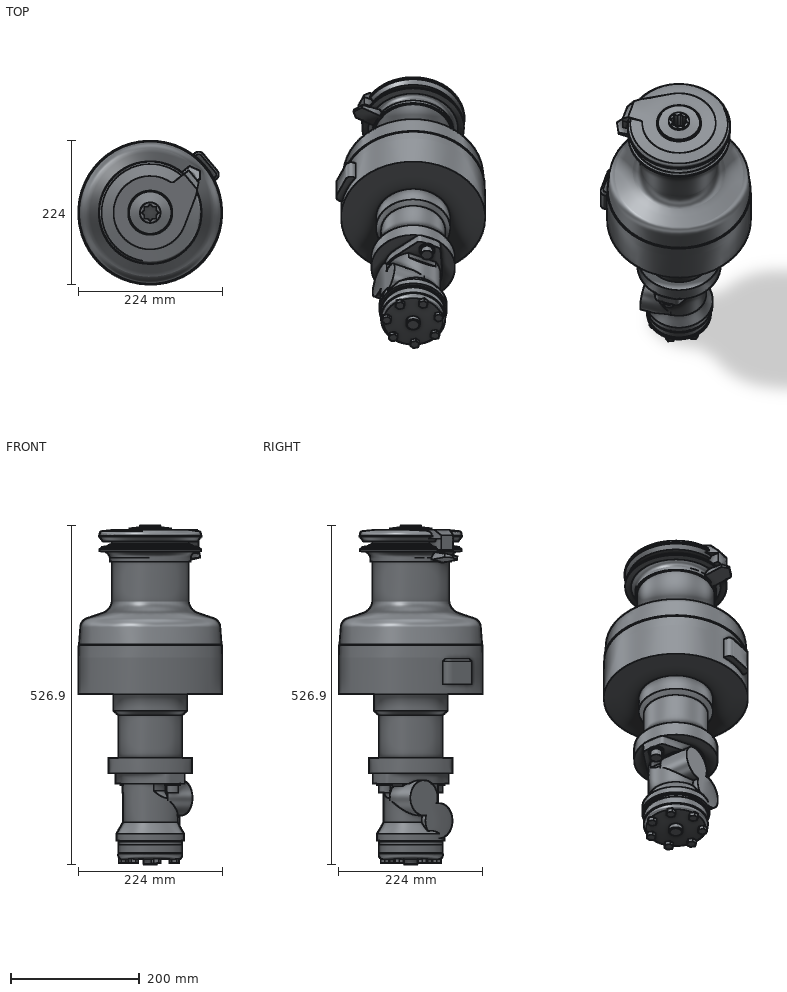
import cadquery as cq
import math


TOTAL_HEIGHT = 526.94
TOP_Z = 261.9
BOTTOM_Z = TOP_Z - TOTAL_HEIGHT

SERVICE_ANGLE = 40.0

BASE_R = 112.0
BASE_RIM_Z = 57.0
BAND_TOP_R = 111.5
BAND_TOP_Z = 77.5
BAND_GROOVE_R = 110.2
BAND_GROOVE_HEIGHT = 1.6
SKIRT_R = 111.0
SHOULDER_R = 109.0
SHOULDER_Z = 103.5
SHOULDER_INNER_R = 99.6
SHOULDER_INNER_Z = 117.6
SHOULDER_MID_POINT = (106.3, 112.0)
DRUM_R = 60.0
DRUM_FLARE_R = 72.0
DRUM_FLARE_Z = 127.0
DRUM_FLARE_TOP_Z = 143.6
DRUM_FLARE_MID_POINT = (64.0, 133.5)
COLLAR_R = 63.0
COLLAR_BOTTOM_Z = 205.8
COLLAR_TOP_Z = 212.0
JAW_ROOT_R = 69.5
JAW_ROOT_Z = 220.7
JAW_ROOT_MID_POINT = (65.2, 216.9)
JAW_R = 79.0
LOWER_JAW_RIM_Z = 221.8
LOWER_JAW_EDGE_Z = 225.0
LOWER_JAW_CONE_R = 75.5
LOWER_JAW_CONE_Z = 228.5
JAW_THROAT_R = 65.0
JAW_THROAT_Z = 231.3
JAW_STEP = 0.9
GROOVE_FLOOR_Z = 233.5
GROOVE_TOP_Z = 236.2
UPPER_JAW_LIP_R = 74.0
UPPER_JAW_LIP_Z = 237.0
UPPER_JAW_BEAD_R = 80.0
UPPER_JAW_BEAD_Z = 244.4
UPPER_JAW_BEAD_TOP_Z = 246.2
LID_EDGE_R = 75.6
LID_EDGE_Z = 253.2
LID_RIM_MID_POINT = (78.7, 250.0)
LID_FLAT_R = 57.0
LID_Z = 255.6
SLOPE_TOP_R = 55.0
SLOPE_TOP_Z = 255.4

CAP_R = 34.5
CAP_EDGE_Z = 257.2
CAP_CROWN_Z = 259.3
CAP_INNER_R = CAP_R - 1.8
CAP_GROOVE_Z = LID_Z - 1.5
HUB_D = 32.2
HUB_TOP_D = 31.72
SOCKET_SQUARE = 18.63
SOCKET_DEPTH = 30.0

NECK_R = 115.0 / 2
NECK_CHAMFER_Z = -26.0
COLUMN_R = 100.0 / 2
COLUMN_SHOULDER_Z = -32.5
FLANGE_R = 130.0 / 2
FLANGE_TOP_Z = -99.0
FLANGE_BOTTOM_Z = -123.0
BODY_R = 42.5
BODY_FLARE_TOP_Z = -199.0
RING_R = 105.0 / 2
RING_TOP_Z = -216.5
RING_BOTTOM_Z = -227.3
RING_GROOVE_R = 48.5
COVER_TOP_Z = -229.0
COVER_R = 100.0 / 2
COVER_SEAT_R = 49.7
COVER_SEAT_Z = -234.0
COVER_GROOVE_TOP_Z = -246.5
COVER_GROOVE_BOTTOM_Z = -248.0
COVER_GROOVE_R = 49.3
COVER_BOTTOM_Z = -256.2
COVER_FACE_R = 46.0
COVER_ROUND_MID_POINT = (49.0, -253.2)

PLATE_BOTTOM_Z = -139.0
PLATE_HUB_R = 45.0
EAR_REACH = 64.0
EAR_HALF_WIDTH = 21.0
EAR_CORNER_R = 8.0
BOLT_OFFSET = 53.5
WASHER_R = 24.0 / 2
WASHER_HEIGHT = 2.5
BOLT_HEAD_R = 18.0 / 2
BOLT_HEAD_BOTTOM_Z = -153.0
RELIEF_OFFSET = 35.8
RELIEF_FLAT_Z = -150.0
RELIEF_END_Z = -161.5

PORT_R = 27.5
PORT_REACH = 50.0
PORT_SIDE_OFFSET = 15.3
HIGH_PORT_Z = -161.0
LOW_PORT_Z = -196.5

SCREW_COUNT = 7
FIRST_SCREW_ANGLE = 180.0
SCREW_CIRCLE_R = 41.5
SCREW_ACROSS_FLATS = 13.0
SCREW_BOTTOM_Z = -262.5
PLUG_R = 10.7
PLUG_TIP_R = 18.63 / 2

ARM_BOTTOM_Z = 241.0
ARM_LEFT_OFFSET = 13.0
ARM_NOTCH_R = 5.0
ARM_TIP_REACH = 88.0
ARM_TIP_HALF_WIDTH = 12.0
ARM_SHOULDER_REACH = 72.0
ARM_SHOULDER_OFFSET = -25.0
ARM_BEVEL_HEIGHT = 9.0
ARM_BEVEL_WIDTH = 9.0
WEB_BOTTOM_Z = 224.0
TONGUE_ROOT_TOP_Z = 220.0
TONGUE_ROOT_BOTTOM_Z = 206.5
TONGUE_TIP_TOP_Z = 216.0
TONGUE_TIP_BOTTOM_Z = 212.0
TONGUE_TILT = -10.0
TONGUE_ROOT_REACH = 58.0
TONGUE_LEFT_REACH = 93.5
TONGUE_TIP_REACH = 101.0
TONGUE_RIGHT_REACH = 93.0
TONGUE_LEFT_OFFSET = 16.0
TONGUE_RIGHT_OFFSET = -9.5
BOX_REACH = 121.8
BOX_ROOT_REACH = 90.0
BOX_HALF_WIDTH = 26.3
BOX_CORNER_R = 9.0
BOX_BEVEL = 4.0
BOX_BOTTOM_Z = 15.0
BOX_TOP_Z = 55.0

OVERLAP = 1.0


def turned(body, angle=SERVICE_ANGLE):
    """Turn a body made along +X to the given angle about the winch axis."""
    return body.rotate((0, 0, 0), (0, 0, 1), angle)


def polar(radius, angle):
    return (radius * math.cos(angle), radius * math.sin(angle))


def cylinder(radius, bottom, top, x=0.0, y=0.0):
    return cq.Workplane("XY", origin=(x, y, bottom)).circle(radius).extrude(top - bottom)


def revolved(profile):
    return profile.close().revolve(360, (0, 0, 0), (0, 1, 0))


def make_drum():
    profile = (
        cq.Workplane("XZ")
        .moveTo(0, 0)
        .lineTo(BASE_R, 0)
        .lineTo(BASE_R, BASE_RIM_Z)
        .lineTo(BAND_TOP_R, BAND_TOP_Z - BAND_GROOVE_HEIGHT)
        .lineTo(BAND_GROOVE_R, BAND_TOP_Z - BAND_GROOVE_HEIGHT)
        .lineTo(BAND_GROOVE_R, BAND_TOP_Z)
        .lineTo(SKIRT_R, BAND_TOP_Z)
        .lineTo(SHOULDER_R, SHOULDER_Z)
        .threePointArc(SHOULDER_MID_POINT, (SHOULDER_INNER_R, SHOULDER_INNER_Z))
        .lineTo(DRUM_FLARE_R, DRUM_FLARE_Z)
        .threePointArc(DRUM_FLARE_MID_POINT, (DRUM_R, DRUM_FLARE_TOP_Z))
        .lineTo(DRUM_R, COLLAR_BOTTOM_Z)
        .lineTo(COLLAR_R, COLLAR_BOTTOM_Z)
        .lineTo(COLLAR_R, COLLAR_TOP_Z)
        .threePointArc(JAW_ROOT_MID_POINT, (JAW_ROOT_R, JAW_ROOT_Z))
        .lineTo(JAW_R, LOWER_JAW_RIM_Z)
        .lineTo(JAW_R, LOWER_JAW_EDGE_Z)
        .lineTo(LOWER_JAW_CONE_R, LOWER_JAW_CONE_Z - JAW_STEP)
        .lineTo(LOWER_JAW_CONE_R, LOWER_JAW_CONE_Z)
        .lineTo(JAW_THROAT_R, JAW_THROAT_Z - JAW_STEP)
        .lineTo(JAW_THROAT_R, JAW_THROAT_Z)
        .lineTo(DRUM_R, GROOVE_FLOOR_Z)
        .lineTo(DRUM_R, GROOVE_TOP_Z)
        .lineTo(UPPER_JAW_LIP_R, UPPER_JAW_LIP_Z)
        .lineTo(JAW_R, UPPER_JAW_BEAD_Z)
        .lineTo(UPPER_JAW_BEAD_R, UPPER_JAW_BEAD_Z)
        .lineTo(UPPER_JAW_BEAD_R, UPPER_JAW_BEAD_TOP_Z)
        .lineTo(JAW_R, UPPER_JAW_BEAD_TOP_Z)
        .threePointArc(LID_RIM_MID_POINT, (LID_EDGE_R, LID_EDGE_Z))
        .lineTo(SLOPE_TOP_R, SLOPE_TOP_Z)
        .lineTo(0, SLOPE_TOP_Z)
    )
    return revolved(profile)


def make_cap():
    profile = (
        cq.Workplane("XZ")
        .moveTo(0, CAP_GROOVE_Z)
        .lineTo(CAP_R, CAP_GROOVE_Z)
        .lineTo(CAP_R, CAP_EDGE_Z)
        .lineTo(HUB_D / 2, CAP_CROWN_Z)
        .lineTo(HUB_TOP_D / 2, TOP_Z)
        .lineTo(0, TOP_Z)
    )
    return revolved(profile)


def make_cap_groove():
    return cylinder(CAP_R, CAP_GROOVE_Z, TOP_Z).cut(cylinder(CAP_INNER_R, CAP_GROOVE_Z, TOP_Z))


def make_socket():
    """Eight-pointed socket: two equal squares turned 45 degrees apart."""
    square = (
        cq.Workplane("XY", origin=(0, 0, TOP_Z - SOCKET_DEPTH))
        .rect(SOCKET_SQUARE, SOCKET_SQUARE)
        .extrude(SOCKET_DEPTH)
    )
    return square.union(turned(square, 45))


def make_column():
    profile = (
        cq.Workplane("XZ")
        .moveTo(0, OVERLAP)
        .lineTo(NECK_R, OVERLAP)
        .lineTo(NECK_R, NECK_CHAMFER_Z)
        .lineTo(COLUMN_R, COLUMN_SHOULDER_Z)
        .lineTo(COLUMN_R, FLANGE_TOP_Z)
        .lineTo(FLANGE_R, FLANGE_TOP_Z)
        .lineTo(FLANGE_R, FLANGE_BOTTOM_Z)
        .lineTo(BODY_R, FLANGE_BOTTOM_Z)
        .lineTo(BODY_R, BODY_FLARE_TOP_Z)
        .lineTo(RING_R, RING_TOP_Z)
        .lineTo(RING_R, RING_BOTTOM_Z)
        .lineTo(RING_GROOVE_R, RING_BOTTOM_Z)
        .lineTo(RING_GROOVE_R, COVER_TOP_Z)
        .lineTo(COVER_SEAT_R, COVER_TOP_Z)
        .lineTo(COVER_SEAT_R, COVER_SEAT_Z)
        .lineTo(COVER_R, COVER_SEAT_Z)
        .lineTo(COVER_R, COVER_GROOVE_TOP_Z)
        .lineTo(COVER_GROOVE_R, COVER_GROOVE_TOP_Z)
        .lineTo(COVER_GROOVE_R, COVER_GROOVE_BOTTOM_Z)
        .lineTo(COVER_R, COVER_GROOVE_BOTTOM_Z)
        .threePointArc(COVER_ROUND_MID_POINT, (COVER_FACE_R, COVER_BOTTOM_Z))
        .lineTo(0, COVER_BOTTOM_Z)
    )
    return revolved(profile)


def make_bolt_relief():
    """Flat with a sloping run-out that clears one bolt head beside the body."""
    return (
        cq.Workplane("XZ", origin=(0, BODY_R, 0))
        .moveTo(RELIEF_OFFSET, PLATE_BOTTOM_Z)
        .lineTo(RELIEF_OFFSET, RELIEF_FLAT_Z)
        .lineTo(BODY_R, RELIEF_END_Z)
        .lineTo(EAR_REACH, RELIEF_END_Z)
        .lineTo(EAR_REACH, PLATE_BOTTOM_Z)
        .close()
        .extrude(2 * BODY_R)
    )


def make_ear():
    """One plate ear along +X: rounded end, sides tangent to the round hub."""
    corner_x = EAR_REACH - EAR_CORNER_R
    corner_y = EAR_HALF_WIDTH - EAR_CORNER_R
    spacing = math.hypot(corner_x, corner_y)
    side_angle = math.atan2(corner_y, corner_x) + math.acos((PLATE_HUB_R - EAR_CORNER_R) / spacing)
    mid_angle = side_angle / 2

    def corner_point(angle):
        offset = polar(EAR_CORNER_R, angle)
        return (corner_x + offset[0], corner_y + offset[1])

    def mirrored(point):
        return (point[0], -point[1])

    hub_point = polar(PLATE_HUB_R, side_angle)
    side_point = corner_point(side_angle)
    mid_point = corner_point(mid_angle)
    end_point = corner_point(0)
    return (
        cq.Workplane("XY", origin=(0, 0, PLATE_BOTTOM_Z))
        .moveTo(0, 0)
        .lineTo(*hub_point)
        .lineTo(*side_point)
        .threePointArc(mid_point, end_point)
        .lineTo(*mirrored(end_point))
        .threePointArc(mirrored(mid_point), mirrored(side_point))
        .lineTo(*mirrored(hub_point))
        .close()
        .extrude(FLANGE_BOTTOM_Z - PLATE_BOTTOM_Z)
    )


def make_mounting_bolt():
    washer_bottom_z = PLATE_BOTTOM_Z - WASHER_HEIGHT
    washer = cylinder(WASHER_R, washer_bottom_z, PLATE_BOTTOM_Z, x=BOLT_OFFSET)
    head = cylinder(BOLT_HEAD_R, BOLT_HEAD_BOTTOM_Z, PLATE_BOTTOM_Z, x=BOLT_OFFSET)
    return washer.union(head)


def make_port(side_offset, z):
    return turned(
        cq.Workplane("YZ", origin=(0, side_offset, z)).circle(PORT_R).extrude(PORT_REACH)
    )


def make_cover_screw(angle):
    """Hexagon head on the screw circle, with two corners along X."""
    x, y = polar(SCREW_CIRCLE_R, math.radians(angle))
    corner_diameter = SCREW_ACROSS_FLATS / math.cos(math.pi / 6)
    return (
        cq.Workplane("XY", origin=(x, y, SCREW_BOTTOM_Z))
        .polygon(6, corner_diameter)
        .extrude(COVER_BOTTOM_Z + OVERLAP - SCREW_BOTTOM_Z)
    )


def make_plug():
    plug = cylinder(PLUG_R, BOTTOM_Z, COVER_BOTTOM_Z + OVERLAP)
    return plug.faces("<Z").chamfer(PLUG_R - PLUG_TIP_R)


def make_lid_plate():
    """Flat lid plate and its arm in one piece, with a web that reaches down between the jaws."""
    notch_y = ARM_LEFT_OFFSET + ARM_NOTCH_R
    notch_center_r = LID_FLAT_R + ARM_NOTCH_R
    notch_x = math.sqrt(notch_center_r**2 - notch_y**2)
    notch_arm_point = (notch_x, ARM_LEFT_OFFSET)
    notch_lid_angle = math.atan2(notch_y, notch_x)
    notch_lid_point = polar(LID_FLAT_R, notch_lid_angle)
    notch_mid_angle = (notch_lid_angle + math.pi + 1.5 * math.pi) / 2
    notch_mid_offset = polar(ARM_NOTCH_R, notch_mid_angle)
    notch_mid_point = (notch_x + notch_mid_offset[0], notch_y + notch_mid_offset[1])

    shoulder_distance = math.hypot(ARM_SHOULDER_REACH, ARM_SHOULDER_OFFSET)
    shoulder_angle = math.atan2(ARM_SHOULDER_OFFSET, ARM_SHOULDER_REACH)
    tangent_angle = shoulder_angle - math.acos(LID_FLAT_R / shoulder_distance)
    tangent_point = polar(LID_FLAT_R, tangent_angle)

    arm = (
        cq.Workplane("XY", origin=(0, 0, ARM_BOTTOM_Z))
        .moveTo(*notch_lid_point)
        .threePointArc(notch_mid_point, notch_arm_point)
        .lineTo(ARM_TIP_REACH, ARM_TIP_HALF_WIDTH)
        .lineTo(ARM_TIP_REACH, -ARM_TIP_HALF_WIDTH)
        .lineTo(ARM_SHOULDER_REACH, ARM_SHOULDER_OFFSET)
        .lineTo(*tangent_point)
        .threePointArc((-LID_FLAT_R, 0), notch_lid_point)
        .close()
        .extrude(LID_Z - ARM_BOTTOM_Z)
    )
    bevel = (
        cq.Workplane("XZ", origin=(0, LID_FLAT_R, 0))
        .moveTo(ARM_TIP_REACH, LID_Z)
        .lineTo(ARM_TIP_REACH - ARM_BEVEL_WIDTH, LID_Z)
        .lineTo(ARM_TIP_REACH, LID_Z - ARM_BEVEL_HEIGHT)
        .close()
        .extrude(2 * LID_FLAT_R)
    )
    web_length = ARM_TIP_REACH - TONGUE_ROOT_REACH
    web = (
        cq.Workplane("XY", origin=(TONGUE_ROOT_REACH + web_length / 2, 0, WEB_BOTTOM_Z))
        .rect(web_length, 2 * ARM_TIP_HALF_WIDTH)
        .extrude(ARM_BOTTOM_Z - WEB_BOTTOM_Z)
    )
    return turned(arm.cut(bevel).union(web))


def make_tongue():
    """Pointed wedge below the lower jaw, tilted about its own length."""
    outline = (
        cq.Workplane("XY", origin=(0, 0, TONGUE_ROOT_BOTTOM_Z))
        .moveTo(TONGUE_ROOT_REACH, TONGUE_LEFT_OFFSET)
        .lineTo(TONGUE_LEFT_REACH, TONGUE_LEFT_OFFSET)
        .lineTo(TONGUE_TIP_REACH, 0)
        .lineTo(TONGUE_RIGHT_REACH, TONGUE_RIGHT_OFFSET)
        .lineTo(TONGUE_ROOT_REACH, TONGUE_RIGHT_OFFSET)
        .close()
        .extrude(TONGUE_ROOT_TOP_Z - TONGUE_ROOT_BOTTOM_Z)
    )
    wedge = (
        cq.Workplane("XZ", origin=(0, TONGUE_LEFT_OFFSET, 0))
        .moveTo(TONGUE_ROOT_REACH, TONGUE_ROOT_TOP_Z)
        .lineTo(TONGUE_TIP_REACH, TONGUE_TIP_TOP_Z)
        .lineTo(TONGUE_TIP_REACH, TONGUE_TIP_BOTTOM_Z)
        .lineTo(TONGUE_ROOT_REACH, TONGUE_ROOT_BOTTOM_Z)
        .close()
        .extrude(TONGUE_LEFT_OFFSET - TONGUE_RIGHT_OFFSET)
    )
    tilt_z = (TONGUE_TIP_TOP_Z + TONGUE_TIP_BOTTOM_Z) / 2
    tongue = outline.intersect(wedge).rotate((0, 0, tilt_z), (1, 0, tilt_z), TONGUE_TILT)
    return turned(tongue)


def make_control_box():
    length = BOX_REACH - BOX_ROOT_REACH
    box = (
        cq.Workplane("XY", origin=(BOX_ROOT_REACH + length / 2, 0, BOX_BOTTOM_Z))
        .rect(length, 2 * BOX_HALF_WIDTH)
        .extrude(BOX_TOP_Z - BOX_BOTTOM_Z)
        .edges("|Z and >X")
        .fillet(BOX_CORNER_R)
        .faces(">Z")
        .chamfer(BOX_BEVEL)
    )
    return turned(box)


bolt_angles = (SERVICE_ANGLE - 90, SERVICE_ANGLE + 90)

winch = make_drum().union(make_lid_plate()).union(make_tongue())
winch = winch.union(make_cap()).cut(make_cap_groove()).cut(make_socket())
winch = winch.union(make_column())
winch = winch.union(make_control_box())

for bolt_angle in bolt_angles:
    winch = winch.cut(turned(make_bolt_relief(), bolt_angle))
winch = winch.union(make_port(-PORT_SIDE_OFFSET, HIGH_PORT_Z))
winch = winch.union(make_port(PORT_SIDE_OFFSET, LOW_PORT_Z))

winch = winch.union(cylinder(PLATE_HUB_R, PLATE_BOTTOM_Z, FLANGE_BOTTOM_Z + OVERLAP))
for bolt_angle in bolt_angles:
    winch = winch.union(turned(make_ear(), bolt_angle))
    winch = winch.union(turned(make_mounting_bolt(), bolt_angle))

for index in range(SCREW_COUNT):
    winch = winch.union(make_cover_screw(FIRST_SCREW_ANGLE + index * 360 / SCREW_COUNT))
winch = winch.union(make_plug())

result = winch